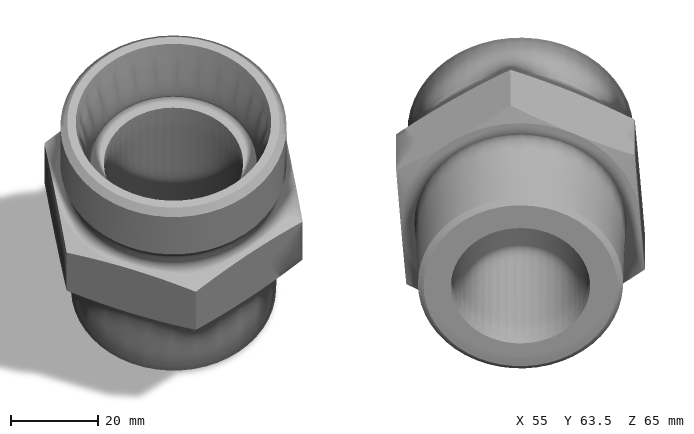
import cadquery as cq
import math

total_height = 65.0
hex_bottom = 26.0
hex_top = 42.95

across_flats = 55.0
across_corners = across_flats / math.cos(math.radians(30))
hex_chamfer_angle = 15.0

gauge_height = 10.65
spigot_gauge_diameter = 47.8
spigot_taper = 1 / 16
spigot_chamfer_height = 1.0
spigot_chamfer_width = 1.3

collar_diameter = 52.0
collar_chamfer = 1.55
neck_diameter = 49.0
neck_top = 46.5
collar_bottom = 49.1
neck_fillet = 1.1

bore_diameter = 32.0
seat_top_diameter = 44.9
seat_floor_diameter = 38.3
seat_half_angle = 12.0
seat_relief_depth = 0.3
seat_depth = (seat_top_diameter - seat_floor_diameter) / 2 / math.tan(math.radians(seat_half_angle))


def revolve_profile(points):
    """Revolve a closed (radius, height) outline about the Z axis."""
    return cq.Workplane("XZ").polyline(points).close().revolve(360, (0, 0, 0), (0, 1, 0))


def make_hexagon():
    """Hexagon with flats facing +X and -X, its corners cut by cones at both ends."""
    prism = (
        cq.Workplane("XY", origin=(0, 0, hex_bottom))
        .polygon(6, across_corners)
        .extrude(hex_top - hex_bottom)
        .rotate((0, 0, 0), (0, 0, 1), 30)
    )
    flat_radius = across_flats / 2
    corner_radius = across_corners / 2
    corner_drop = (corner_radius - flat_radius) * math.tan(math.radians(hex_chamfer_angle))
    envelope = revolve_profile([
        (0, hex_bottom),
        (flat_radius, hex_bottom),
        (corner_radius, hex_bottom + corner_drop),
        (corner_radius, hex_top - corner_drop),
        (flat_radius, hex_top),
        (0, hex_top),
    ])
    return prism.intersect(envelope)


def make_spigot():
    """Tapered spigot below the hexagon with a chamfered lower edge."""
    gauge_radius = spigot_gauge_diameter / 2
    bottom_radius = gauge_radius - (gauge_height - spigot_chamfer_height) * spigot_taper / 2
    top_radius = gauge_radius + (hex_bottom - gauge_height) * spigot_taper / 2
    return revolve_profile([
        (0, 0),
        (bottom_radius - spigot_chamfer_width, 0),
        (bottom_radius, spigot_chamfer_height),
        (gauge_radius, gauge_height),
        (top_radius, hex_bottom),
        (0, hex_bottom),
    ])


def make_collar():
    """Collar above the hexagon, narrowed to a neck blended at both ends."""
    neck_radius = neck_diameter / 2
    collar_radius = collar_diameter / 2
    shoulder_rise = collar_bottom - neck_top
    shoulder_run = collar_radius - neck_radius
    shoulder_angle = math.atan2(shoulder_run, shoulder_rise)
    blend_length = neck_fillet * math.tan(shoulder_angle / 2)
    blend_end = (
        neck_radius + blend_length * math.sin(shoulder_angle),
        neck_top + blend_length * math.cos(shoulder_angle),
    )
    return (
        cq.Workplane("XZ")
        .moveTo(0, hex_top)
        .lineTo(neck_radius + neck_fillet, hex_top)
        .radiusArc((neck_radius, hex_top + neck_fillet), neck_fillet)
        .lineTo(neck_radius, neck_top - blend_length)
        .radiusArc(blend_end, neck_fillet)
        .lineTo(collar_radius, collar_bottom)
        .lineTo(collar_radius, total_height - collar_chamfer)
        .lineTo(collar_radius - collar_chamfer, total_height)
        .lineTo(0, total_height)
        .close()
        .revolve(360, (0, 0, 0), (0, 1, 0))
    )


def make_bore():
    """Through bore that opens into the cone seat at the top."""
    cone_end = total_height - seat_depth
    seat_floor = cone_end - seat_relief_depth
    bore_radius = bore_diameter / 2
    return revolve_profile([
        (0, 0),
        (bore_radius, 0),
        (bore_radius, seat_floor),
        (seat_floor_diameter / 2, seat_floor),
        (seat_floor_diameter / 2, cone_end),
        (seat_top_diameter / 2, total_height),
        (0, total_height),
    ])


result = make_spigot().union(make_hexagon()).union(make_collar()).cut(make_bore())